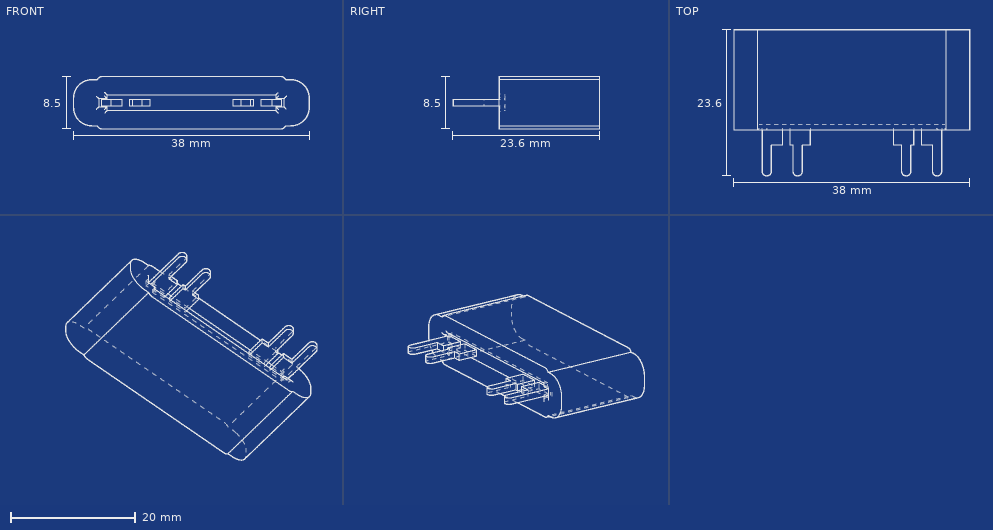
import cadquery as cq

LENGTH = 38.0
HEIGHT = 8.5
DEPTH = 16.2
END_HEIGHT = 7.5
END_RADIUS = 3.0
MIDDLE_FLAT_LENGTH = 28.6
STEP_RADIUS = 1.0

RECESS_DEPTH = 0.9
RECESS_LENGTH = 27.17
RECESS_HEIGHT = 2.55
ARM_SPAN = 29.83
ARM_HEIGHT = 1.33
MOUTH_RADIUS = 0.5

PIN_THICKNESS = 1.1
PIN_REACH = 7.4
PAD_REACH = 2.45
PAD_WIDTH = 3.3
PRONG_WIDTH = 1.52

OUTER_PAD_EDGE = 14.48
OUTER_PRONG_INSET = 0.0
INNER_PAD_EDGE = 10.0
INNER_PRONG_INSET = 0.5


def front_block(length, height, depth):
    """Make a centred block that runs from the front face at Y = 0 toward +Y."""
    return cq.Workplane("XZ").rect(length, height).extrude(-depth)


def make_housing():
    """Join the ends and the middle, cut the recess and round its mouth."""
    ends = front_block(LENGTH, END_HEIGHT, DEPTH).edges("|Y").fillet(END_RADIUS)

    middle_length = MIDDLE_FLAT_LENGTH + 2 * STEP_RADIUS
    middle = front_block(middle_length, HEIGHT, DEPTH).edges("|Y").fillet(STEP_RADIUS)

    recess = front_block(RECESS_LENGTH, RECESS_HEIGHT, RECESS_DEPTH)
    arms = front_block(ARM_SPAN, ARM_HEIGHT, RECESS_DEPTH)
    body = ends.union(middle).cut(recess.union(arms))

    mouth = body.faces("<Y").val().innerWires()[0]
    return body.newObject(mouth.Edges()).fillet(MOUTH_RADIUS)


def make_pin(side, pad_edge, prong_inset):
    """Make one pin standing on the recess floor; side is -1 for the left and 1 for the right."""
    pad_outer = side * pad_edge
    pad_inner = side * (pad_edge - PAD_WIDTH)
    prong_outer = side * (pad_edge - prong_inset)
    prong_inner = prong_outer - side * PRONG_WIDTH
    prong_middle = (prong_outer + prong_inner) / 2
    tip_start = PRONG_WIDTH / 2 - PIN_REACH
    outline = (
        cq.Workplane("XY")
        .moveTo(pad_inner, RECESS_DEPTH)
        .lineTo(pad_inner, -PAD_REACH)
        .lineTo(prong_inner, -PAD_REACH)
        .lineTo(prong_inner, tip_start)
        .threePointArc((prong_middle, -PIN_REACH), (prong_outer, tip_start))
        .lineTo(prong_outer, -PAD_REACH)
    )
    if prong_inset > 0:
        outline = outline.lineTo(pad_outer, -PAD_REACH)
    outline = outline.lineTo(pad_outer, RECESS_DEPTH).close()
    return outline.extrude(PIN_THICKNESS / 2, both=True)


housing = make_housing()

pins = []
for side in (-1, 1):
    pins.append(make_pin(side, OUTER_PAD_EDGE, OUTER_PRONG_INSET))
    pins.append(make_pin(side, INNER_PAD_EDGE, INNER_PRONG_INSET))

result = cq.Compound.makeCompound(
    [housing.solids().val(), *(pin.solids().val() for pin in pins)]
)